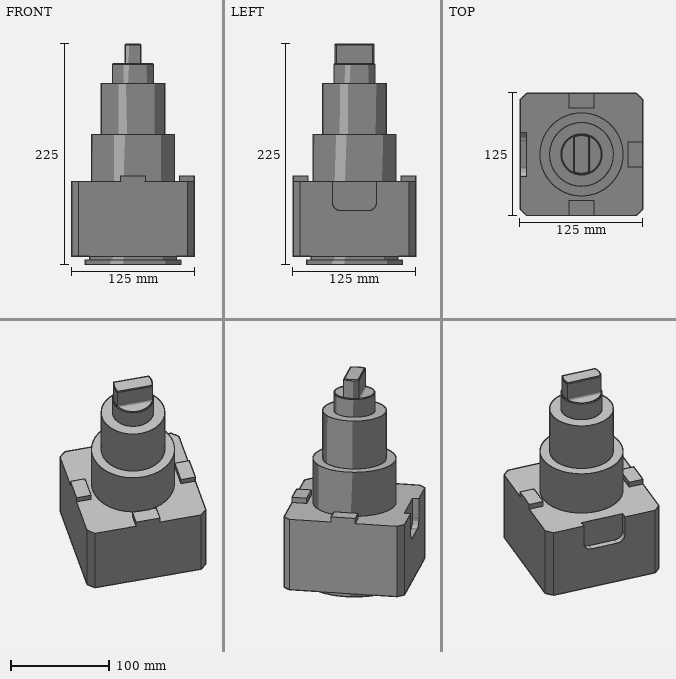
import cadquery as cq
import math

body_side = 125.0
body_bottom = 8.5
body_top = 85.0
corner_diameter = 167.6

flange_diameter = 98.0
flange_height = 5.0
neck_diameter = 89.0

lower_step_diameter = 84.8
lower_step_top = 133.0
upper_step_diameter = 65.0
upper_step_top = 185.0
shaft_diameter = 42.0
shaft_top = 205.0
edge_chamfer = 1.0

overall_height = 225
tang_diameter = shaft_diameter - 2 * edge_chamfer
tang_width = 16.0
foot_radius = 1.0

tab_width = 25.2
tab_length = 15.3
tab_height = 5.6

recess_width = 45
recess_height = 30.0
recess_depth = 6.5
recess_radius = 8.5


def cylinder(diameter, bottom, top):
    """Upright cylinder on the spindle axis."""
    return cq.Workplane("XY", origin=(0, 0, bottom)).circle(diameter / 2).extrude(top - bottom)


def make_body():
    square = (
        cq.Workplane("XY", origin=(0, 0, body_bottom))
        .rect(body_side, body_side)
        .extrude(body_top - body_bottom)
    )
    return square.intersect(cylinder(corner_diameter, body_bottom, body_top))


def make_recess():
    return (
        cq.Workplane("XY")
        .box(2 * recess_depth, recess_width, 2 * recess_height)
        .edges("|X")
        .fillet(recess_radius)
        .translate((-body_side / 2, 0, body_top))
    )


def make_tab(angle):
    """Tab flush with the body side that faces the given angle from +X."""
    return (
        cq.Workplane("XY", origin=((body_side - tab_length) / 2, 0, body_top))
        .rect(tab_length, tab_width)
        .extrude(tab_height)
        .rotate((0, 0, 0), (0, 0, 1), angle)
    )


def make_tang():
    half_width = tang_width / 2
    foot_half_width = half_width + foot_radius
    foot_top = shaft_top + foot_radius
    arc_offset = foot_radius * math.sqrt(0.5)
    arc_mid_x = foot_half_width - arc_offset
    arc_mid_z = foot_top - arc_offset
    flats = (
        cq.Workplane("XZ")
        .moveTo(-foot_half_width, shaft_top)
        .lineTo(foot_half_width, shaft_top)
        .threePointArc((arc_mid_x, arc_mid_z), (half_width, foot_top))
        .lineTo(half_width, overall_height)
        .lineTo(-half_width, overall_height)
        .lineTo(-half_width, foot_top)
        .threePointArc((-arc_mid_x, arc_mid_z), (-foot_half_width, shaft_top))
        .close()
        .extrude(tang_diameter / 2, both=True)
    )
    tang = cylinder(tang_diameter, shaft_top, overall_height).intersect(flats)
    return tang.faces(">Z").chamfer(edge_chamfer)


result = make_body().cut(make_recess())
result = result.union(cylinder(neck_diameter, flange_height, body_bottom))
result = result.union(cylinder(flange_diameter, 0, flange_height))
result = result.union(cylinder(lower_step_diameter, body_top, lower_step_top))
result = result.union(cylinder(upper_step_diameter, lower_step_top, upper_step_top))
shaft = cylinder(shaft_diameter, upper_step_top, shaft_top).faces(">Z").chamfer(edge_chamfer)
result = result.union(shaft).union(make_tang())

for tab_angle in (-90, 0, 90):
    result = result.union(make_tab(tab_angle))